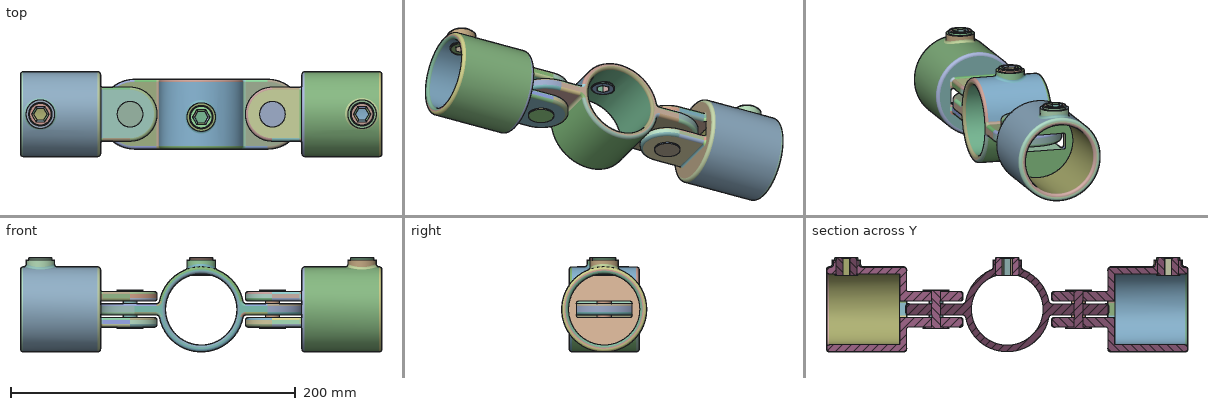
import cadquery as cq
import math

overall_length = 254.0
tube_bore = 50.0
tube_outer = 60.0
edge_radius = 2.0
margin = 0.3

socket_length = 56.5
socket_face_x = overall_length / 2 - socket_length
base_thickness = (tube_outer - tube_bore) / 2
shoulder_radius = 2.3

pivot_x = 50.0
clevis_gap = 11.5
lug_thickness = 6.9
lug_width = 38.0
lug_root_radius = 1.3
clevis_half_height = clevis_gap / 2 + lug_thickness
slot_width = 39.0
slot_corner_radius = 1.3

clamp_width = 49.3
tongue_thickness = 8.1
tongue_arc_x = 46.7
tongue_root_radius = 2.0
tongue_span = 2 * tongue_arc_x + clamp_width
clamp_screw_y = -2.0

pin_diameter = 10.0
pin_head_diameter = 18.0
pin_head_height = 1.0

boss_diameter = 20.0
boss_top_z = 34.5
boss_root_radius = 1.8
screw_diameter = 16.5
screw_tip_diameter = 15.2
screw_top_z = 36.5
screw_bottom_z = 23.5
screw_length = screw_top_z - screw_bottom_z
hex_across_flats = 8.1
hex_mouth_across_flats = 10.7
hex_mouth_taper = 60.0
socket_screw_x = 113.0


def vertical_cylinder(x, y, diameter, top_z):
    """Cylinder along Z from the tube axis height up to top_z."""
    return cq.Workplane("XY").center(x, y).circle(diameter / 2).extrude(top_z)


def edges_in_box(body, x_range, y_range, z_range):
    """Edges of a body whose centres lie inside an axis-aligned box."""
    low, high = zip(x_range, y_range, z_range)
    return body.edges(cq.selectors.BoxSelector(low, high))


def add_boss(body, x, y):
    """Add a set screw boss with a rounded root where it meets the tube wall."""
    body = body.union(vertical_cylinder(x, y, boss_diameter, boss_top_z))
    reach = boss_diameter / 2 + margin
    lowest_root_z = math.sqrt((tube_outer / 2) ** 2 - (boss_diameter / 2 + abs(y)) ** 2)
    root = edges_in_box(
        body,
        (x - reach, x + reach),
        (y - reach, y + reach),
        (lowest_root_z - margin, tube_outer / 2 + margin),
    )
    return root.fillet(boss_root_radius)


def bore_rim(body, end):
    """Edge where the tube bore opens in the given end face, which is its shortest outline."""
    shortest_wire = cq.selectors.LengthNthSelector(0)
    return body.faces(end).wires(shortest_wire).edges()


def make_lug(bottom_z):
    """Flat lug of the -X socket, with a round end about the pivot and rounded rims."""
    root_x = -socket_face_x - base_thickness / 2
    lug = (
        cq.Workplane("XY").workplane(offset=bottom_z)
        .moveTo(root_x, -lug_width / 2)
        .lineTo(-pivot_x, -lug_width / 2)
        .threePointArc((-pivot_x + lug_width / 2, 0), (-pivot_x, lug_width / 2))
        .lineTo(root_x, lug_width / 2)
        .close()
        .extrude(lug_thickness)
    )
    return lug.faces("<Z or >Z").edges("not <X").fillet(edge_radius)


def make_socket():
    """Socket on the -X side: capped tube with a screw boss and a two-lug clevis."""
    mouth_plane = cq.Workplane("YZ").workplane(offset=-overall_length / 2)
    socket = mouth_plane.circle(tube_outer / 2).extrude(socket_length)
    socket = socket.faces("<X").edges().fillet(edge_radius)
    socket = socket.faces(">X").edges().fillet(shoulder_radius)
    socket = add_boss(socket, -socket_screw_x, 0)

    for bottom_z in (clevis_gap / 2, -clevis_half_height):
        socket = socket.union(make_lug(bottom_z))
    lug_roots = edges_in_box(
        socket,
        (-socket_face_x - margin, -socket_face_x + margin),
        (-lug_width / 2 - margin, lug_width / 2 + margin),
        (-clevis_half_height - margin, clevis_half_height + margin),
    )
    socket = lug_roots.fillet(lug_root_radius)

    bore = mouth_plane.circle(tube_bore / 2).extrude(socket_length - base_thickness)
    socket = socket.cut(bore)
    socket = bore_rim(socket, "<X").fillet(edge_radius)

    slot_length = 2 * (base_thickness + lug_root_radius)
    slot = cq.Workplane("XY").box(slot_length, slot_width, clevis_gap)
    slot = slot.edges("|X").fillet(slot_corner_radius)
    socket = socket.cut(slot.translate((-socket_face_x, 0, 0)))

    socket = socket.cut(vertical_cylinder(-socket_screw_x, 0, screw_diameter, boss_top_z))
    pin_hole = cq.Workplane("XY").center(-pivot_x, 0).circle(pin_diameter / 2)
    return socket.cut(pin_hole.extrude(clevis_half_height, both=True))


def make_clamp():
    """Centre clamp: a tube along Y with a round-ended tongue on each side."""
    tube = cq.Workplane("XZ").circle(tube_outer / 2).extrude(clamp_width / 2, both=True)
    tongues = cq.Workplane("XY").box(tongue_span, clamp_width, tongue_thickness)
    clamp = tube.union(tongues)
    tongue_roots = edges_in_box(
        clamp,
        (-tube_outer / 2, tube_outer / 2),
        (-margin, margin),
        (-tongue_thickness, tongue_thickness),
    )
    clamp = tongue_roots.fillet(tongue_root_radius)

    plan = cq.Workplane("XY").slot2D(tongue_span, clamp_width).extrude(tube_outer, both=True)
    clamp = clamp.intersect(plan)
    clamp = clamp.edges("not |Y").edges("not |Z").fillet(edge_radius)
    clamp = add_boss(clamp, 0, clamp_screw_y)

    clamp = clamp.cut(cq.Workplane("XZ").circle(tube_bore / 2).extrude(clamp_width, both=True))
    for end in ("<Y", ">Y"):
        clamp = bore_rim(clamp, end).fillet(edge_radius)

    clamp = clamp.cut(vertical_cylinder(0, clamp_screw_y, screw_diameter, boss_top_z))
    pin_holes = cq.Workplane("XY").pushPoints([(-pivot_x, 0), (pivot_x, 0)]).circle(pin_diameter / 2)
    return clamp.cut(pin_holes.extrude(tongue_thickness, both=True))


def make_pin(x):
    """Pivot pin with a low round head on each outer clevis face."""
    shank = cq.Workplane("XY").circle(pin_diameter / 2).extrude(clevis_half_height, both=True)
    head = cq.Workplane("XY").workplane(offset=clevis_half_height)
    head = head.circle(pin_head_diameter / 2).extrude(pin_head_height)
    return shank.union(head).union(head.mirror("XY")).translate((x, 0, 0))


def hexagon(z, across_flats):
    """Hexagon outline at a given height, with two sides parallel to X."""
    return cq.Workplane("XY").workplane(offset=z).polygon(6, across_flats / math.cos(math.pi / 6))


def make_set_screw(x, y):
    """Set screw with chamfered ends and a through hexagon that widens at its mouth."""
    screw = cq.Workplane("XY").workplane(offset=screw_bottom_z)
    screw = screw.circle(screw_diameter / 2).extrude(screw_length)
    screw = screw.faces("<Z or >Z").chamfer((screw_diameter - screw_tip_diameter) / 2)
    screw = screw.cut(hexagon(screw_bottom_z, hex_across_flats).extrude(screw_length))

    mouth_overhang = (hex_mouth_across_flats - hex_across_flats) / 2
    mouth_depth = mouth_overhang / math.tan(math.radians(hex_mouth_taper))
    mouth = hexagon(screw_top_z, hex_mouth_across_flats).extrude(-mouth_depth, taper=hex_mouth_taper)
    return screw.cut(mouth).translate((x, y, 0))


left_socket = make_socket()
sockets = [left_socket.solids().val(), left_socket.mirror("YZ").solids().val()]

clamp = make_clamp()

pins = [make_pin(x).solids().val() for x in (-pivot_x, pivot_x)]

screw_places = [(-socket_screw_x, 0), (0, clamp_screw_y), (socket_screw_x, 0)]
set_screws = [make_set_screw(x, y).solids().val() for x, y in screw_places]

result = cq.Compound.makeCompound([*sockets, clamp.solids().val(), *pins, *set_screws])